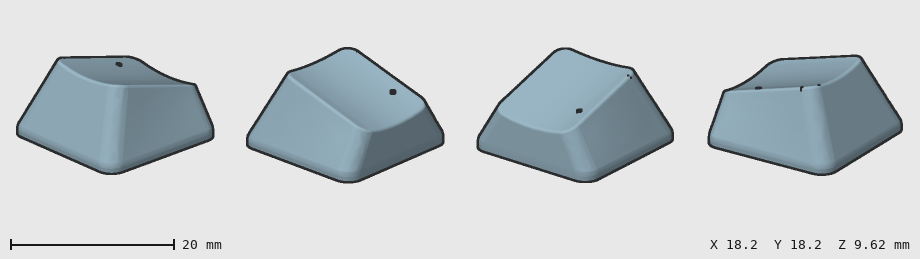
import cadquery as cq
import math

base_side = 18.16
base_corner_radius = 2.02
skirt_height = 0.67
blend_height = 0.64

rim_tilt = 16.2
rim_height = 8.54
rim_width = 11.88
rim_front_y = -4.9
rim_back_y = 8.72
rim_corner_radius = 1.78
rim_edge_radius = 0.4

dish_radius = 22.7
dish_length = 3 * base_side

mark_diameter = 0.6
mark_x = -3.95
mark_y = 4.23
mark_depth = 0.15

tilt_cos = math.cos(math.radians(rim_tilt))
tilt_tan = math.tan(math.radians(rim_tilt))
rim_center_y = (rim_front_y + rim_back_y) / 2
rim_length = (rim_back_y - rim_front_y) / tilt_cos

dish_depth = dish_radius - math.sqrt(dish_radius**2 - (rim_width / 2) ** 2)


def rim_z(y):
    """Height of the tilted rim plane at a given y."""
    return rim_height - tilt_tan * y


def rim_plane(y):
    """Plane lying in the tilted rim, with its origin on the centre line at y."""
    return cq.Plane(
        origin=(0, y, rim_z(y)),
        xDir=(1, 0, 0),
        normal=(0, tilt_tan, 1),
    )


def level_plane(y, z):
    """Horizontal plane with its origin on the centre line."""
    return cq.Plane(origin=(0, y, z))


def rounded_outline(plane, width, length, corner_radius):
    """Closed wire of a centred rectangle with rounded corners."""
    x = width / 2
    y = length / 2
    straight_x = x - corner_radius
    straight_y = y - corner_radius
    return (
        cq.Workplane(plane)
        .moveTo(-straight_x, -y)
        .lineTo(straight_x, -y)
        .radiusArc((x, -straight_y), -corner_radius)
        .lineTo(x, straight_y)
        .radiusArc((straight_x, y), -corner_radius)
        .lineTo(-straight_x, y)
        .radiusArc((-x, straight_y), -corner_radius)
        .lineTo(-x, -straight_y)
        .radiusArc((-straight_x, -y), -corner_radius)
        .close()
        .val()
    )


def make_skirt():
    return (
        cq.Workplane("XY")
        .rect(base_side, base_side)
        .extrude(skirt_height)
        .edges("|Z")
        .fillet(base_corner_radius)
    )


def blend_outline(fraction):
    """Outline at a fraction of the blend height, curving from vertical to each side's lean."""
    half_side = base_side / 2
    lean_start = skirt_height + blend_height / 2
    lean_front = (half_side + rim_front_y) / (rim_z(rim_front_y) - lean_start)
    lean_back = (half_side - rim_back_y) / (rim_z(rim_back_y) - lean_start)
    lean_side = (half_side - rim_width / 2) / (rim_z(rim_center_y) - lean_start)

    inset_per_lean = blend_height * fraction**2 / 2
    front_y = -half_side + lean_front * inset_per_lean
    back_y = half_side - lean_back * inset_per_lean
    width = base_side - 2 * lean_side * inset_per_lean
    plane = level_plane((front_y + back_y) / 2, skirt_height + blend_height * fraction)
    return rounded_outline(plane, width, back_y - front_y, base_corner_radius)


def make_blend():
    outlines = [blend_outline(fraction) for fraction in (0, 0.5, 1)]
    return cq.Workplane(cq.Solid.makeLoft(outlines))


def make_leaning_sides():
    rim = rounded_outline(rim_plane(rim_center_y), rim_width, rim_length, rim_corner_radius)
    return cq.Workplane(cq.Solid.makeLoft([blend_outline(1), rim], True))


def make_dish():
    plane = rim_plane(rim_center_y)
    axis = plane.yDir
    start = plane.origin + plane.zDir * (dish_radius - dish_depth) - axis * (dish_length / 2)
    return cq.Workplane(cq.Solid.makeCylinder(dish_radius, dish_length, start, axis))


def make_mark():
    plane = rim_plane(mark_y)
    floor_rise = dish_radius - math.sqrt(dish_radius**2 - mark_x**2)
    floor = floor_rise - dish_depth - mark_depth
    y_shift = -floor * tilt_tan
    return (
        cq.Workplane(plane)
        .workplane(offset=floor)
        .center(mark_x, y_shift)
        .circle(mark_diameter / 2)
        .extrude(dish_depth)
    )


keycap = make_skirt().union(make_blend()).union(make_leaning_sides())
keycap = keycap.cut(make_dish())
keycap = keycap.faces("%CYLINDER").faces(">Z").edges().fillet(rim_edge_radius)
result = keycap.cut(make_mark())